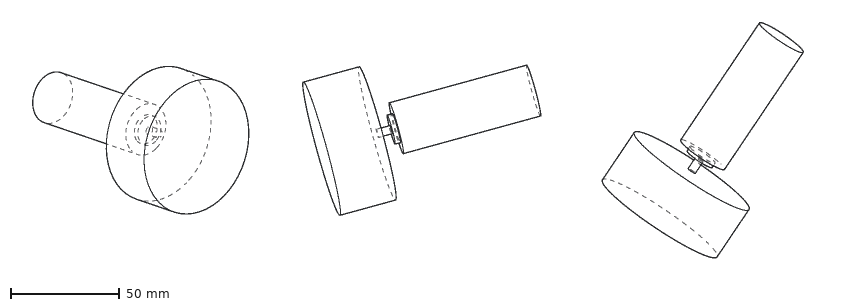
import cadquery as cq

total_length = 101.9

body_diameter = 24.5
body_length = 66.0

collar_diameter = 14.0
collar_length = 2.5

shaft_diameter = 4.0
shaft_length = 6.6

wheel_diameter = 64.0
wheel_length = total_length - body_length - collar_length - shaft_length

sections = [
    (body_length, body_diameter),
    (collar_length, collar_diameter),
    (shaft_length, shaft_diameter),
    (wheel_length, wheel_diameter),
]


def stepped_profile(steps):
    """Closed half section in the XZ plane, lying between the X axis and the stepped outline."""
    profile = cq.Workplane("XZ").moveTo(0, 0)
    end_x = 0.0
    for length, diameter in steps:
        end_x += length
        profile = profile.vLineTo(diameter / 2).hLineTo(end_x)
    return profile.vLineTo(0).close()


axis_start = (0, 0)
axis_end = (1, 0)
result = stepped_profile(sections).revolve(360, axis_start, axis_end)